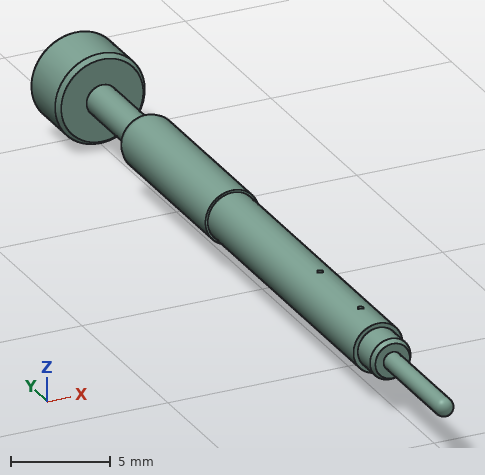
import cadquery as cq
import math

total_length = 43.3
back_y = total_length / 2
head_length = 3.05
sleeve_start = 8.15
sleeve_end = 18.2
tube_end = 35.15
nose_end = 36.85

head_diameter = 5.0
shaft_diameter = 1.75
sleeve_diameter = 3.0
tube_diameter = 2.73
nose_diameter = 2.25
pin_diameter = 1.0

head_chamfer_length = 0.25
head_chamfer_depth = 0.2
sleeve_chamfer_length = 0.35
sleeve_chamfer_depth = 0.11
nose_chamfer_length = 0.25
nose_chamfer_depth = 0.17

dimple_diameter = 0.3
dimple_depth = 0.15
dimple_positions = (28.4, 33.12)


def turned_body():
    """Revolve the stepped half-section, ending in a round pin tip, about Y."""
    head_radius = head_diameter / 2
    shaft_radius = shaft_diameter / 2
    sleeve_radius = sleeve_diameter / 2
    tube_radius = tube_diameter / 2
    nose_radius = nose_diameter / 2
    pin_radius = pin_diameter / 2

    head_face_y = back_y - head_length
    sleeve_start_y = back_y - sleeve_start
    sleeve_end_y = back_y - sleeve_end
    tube_end_y = back_y - tube_end
    nose_end_y = back_y - nose_end
    tip_y = back_y - total_length
    tip_center_y = tip_y + pin_radius
    tip_arc_offset = pin_radius * math.sqrt(0.5)

    profile = (
        cq.Workplane("XY")
        .moveTo(0, back_y)
        .lineTo(head_radius, back_y)
        .lineTo(head_radius, head_face_y + head_chamfer_length)
        .lineTo(head_radius - head_chamfer_depth, head_face_y)
        .lineTo(shaft_radius, head_face_y)
        .lineTo(shaft_radius, sleeve_start_y)
        .lineTo(sleeve_radius - sleeve_chamfer_depth, sleeve_start_y)
        .lineTo(sleeve_radius, sleeve_start_y - sleeve_chamfer_length)
        .lineTo(sleeve_radius, sleeve_end_y)
        .lineTo(tube_radius, sleeve_end_y)
        .lineTo(tube_radius, tube_end_y)
        .lineTo(nose_radius, tube_end_y)
        .lineTo(nose_radius, nose_end_y + nose_chamfer_length)
        .lineTo(nose_radius - nose_chamfer_depth, nose_end_y)
        .lineTo(pin_radius, nose_end_y)
        .lineTo(pin_radius, tip_center_y)
        .threePointArc((tip_arc_offset, tip_center_y - tip_arc_offset), (0, tip_y))
        .close()
    )
    return profile.revolve(360, (0, 0, 0), (0, 1, 0))


def dimple_cutters():
    """Short upright cylinders that sink the dimples into the top of the tube."""
    floor_z = tube_diameter / 2 - dimple_depth
    centers = [(0, back_y - position) for position in dimple_positions]
    return (
        cq.Workplane("XY", origin=(0, 0, floor_z))
        .pushPoints(centers)
        .circle(dimple_diameter / 2)
        .extrude(2 * dimple_depth)
    )


result = turned_body().cut(dimple_cutters())